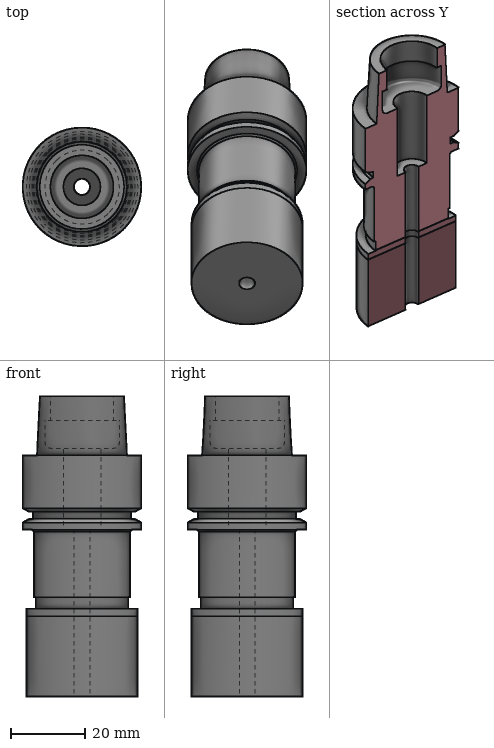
import cadquery as cq


taper_length = 16.0
taper_base_radius = 12.16
taper_slope = 1 / 20
taper_top_radius = taper_base_radius - taper_slope * taper_length

flange_radius = 16.0
flange_bottom = -20.0
groove_radius = 13.25
groove_middle = -16.15
groove_floor_width = 1.9
groove_chamfer_height = 1.0
groove_chamfer_width = 1.73
groove_top = groove_middle + groove_floor_width / 2
groove_bottom = groove_middle - groove_floor_width / 2
groove_lip_radius = flange_radius - groove_chamfer_width

barrel_radius = 13.0
barrel_bottom = -38.2
barrel_chamfer = 0.5
neck_radius = 12.5

nut_radius = 15.0
nut_bottom = -65.0
collar_bottom = -43.3
collar_height = 2.0
collar_top = collar_bottom + collar_height

mouth_radius = 8.5
mouth_bottom = taper_length - 6.5
chamber_radius = 10.0
chamber_fillet = chamber_radius - mouth_radius
chamber_floor = taper_length - 14.0
stop_bore_radius = 5.0
stop_bore_bottom = flange_bottom
through_hole_radius = 2.15


def revolve_profile(profile):
    """Close a half profile, drawn as radius and height, and spin it about the Z axis."""
    return profile.close().revolve(360, (0, 0), (0, 1))


def make_bore():
    profile = (
        cq.Workplane("XZ")
        .moveTo(0, taper_length)
        .lineTo(mouth_radius, taper_length)
        .lineTo(mouth_radius, mouth_bottom)
        .lineTo(chamber_radius, mouth_bottom)
        .lineTo(chamber_radius, chamber_floor + chamber_fillet)
        .radiusArc((chamber_radius - chamber_fillet, chamber_floor), chamber_fillet)
        .lineTo(stop_bore_radius, chamber_floor)
        .lineTo(stop_bore_radius, stop_bore_bottom)
        .lineTo(through_hole_radius, stop_bore_bottom)
        .lineTo(through_hole_radius, collar_top)
        .lineTo(0, collar_top)
    )
    return revolve_profile(profile)


def make_shank():
    profile = (
        cq.Workplane("XZ")
        .moveTo(0, collar_top)
        .lineTo(neck_radius, collar_top)
        .lineTo(neck_radius, barrel_bottom)
        .lineTo(barrel_radius, barrel_bottom)
        .lineTo(barrel_radius, flange_bottom - barrel_chamfer)
        .lineTo(barrel_radius + barrel_chamfer, flange_bottom)
        .lineTo(flange_radius, flange_bottom)
        .lineTo(flange_radius, groove_bottom - groove_chamfer_height)
        .lineTo(groove_lip_radius, groove_bottom)
        .lineTo(groove_radius, groove_bottom)
        .lineTo(groove_radius, groove_top)
        .lineTo(groove_lip_radius, groove_top)
        .lineTo(flange_radius, groove_top + groove_chamfer_height)
        .lineTo(flange_radius, 0)
        .lineTo(taper_base_radius, 0)
        .lineTo(taper_top_radius, taper_length)
        .lineTo(0, taper_length)
    )
    return revolve_profile(profile).cut(make_bore())


def make_ring(bottom, top):
    """A plain ring of the nut's diameter with the through hole down its middle."""
    return (
        cq.Workplane("XY")
        .workplane(offset=bottom)
        .circle(nut_radius)
        .circle(through_hole_radius)
        .extrude(top - bottom)
    )


shank = make_shank()
collar = make_ring(collar_bottom, collar_top)
nut = make_ring(nut_bottom, collar_bottom)

result = cq.Compound.makeCompound([shank.val(), collar.val(), nut.val()])